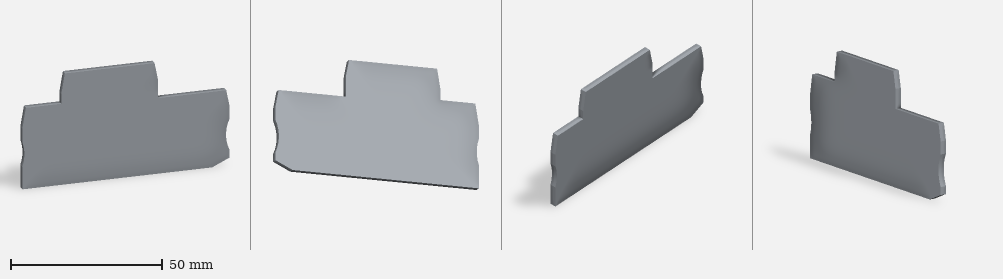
import cadquery as cq

thickness = 2.2
length = 71.6
height = 39.65

front_shoulder_height = 29.0
back_shoulder_height = 27.0
tower_front = 13.45
tower_back = 46.8

front_taper_inset = 1.2
front_taper_drop = 7.3
back_taper_inset = 1.15
back_taper_drop = 5.9

front_recess_bottom = 8.0
front_recess_top = 16.8
front_recess_depth = 0.7
back_recess_bottom = 5.5
back_recess_top = 16.7
back_recess_depth = 1.2

corner_run = 6.0
corner_rise = 2.8

front_recess_middle = (front_recess_bottom + front_recess_top) / 2
back_recess_middle = (back_recess_bottom + back_recess_top) / 2

profile = (
    cq.Workplane("YZ")
    .moveTo(0, 0)
    .lineTo(0, front_recess_bottom)
    .threePointArc((front_recess_depth, front_recess_middle), (0, front_recess_top))
    .lineTo(0, front_shoulder_height - front_taper_drop)
    .lineTo(front_taper_inset, front_shoulder_height)
    .lineTo(tower_front, front_shoulder_height)
    .lineTo(tower_front, height - front_taper_drop)
    .lineTo(tower_front + front_taper_inset, height)
    .lineTo(tower_back - back_taper_inset, height)
    .lineTo(tower_back, height - back_taper_drop)
    .lineTo(tower_back, back_shoulder_height)
    .lineTo(length - back_taper_inset, back_shoulder_height)
    .lineTo(length, back_shoulder_height - back_taper_drop)
    .lineTo(length, back_recess_top)
    .threePointArc((length - back_recess_depth, back_recess_middle), (length, back_recess_bottom))
    .lineTo(length, corner_rise)
    .lineTo(length - corner_run, 0)
    .close()
)

result = profile.extrude(thickness)